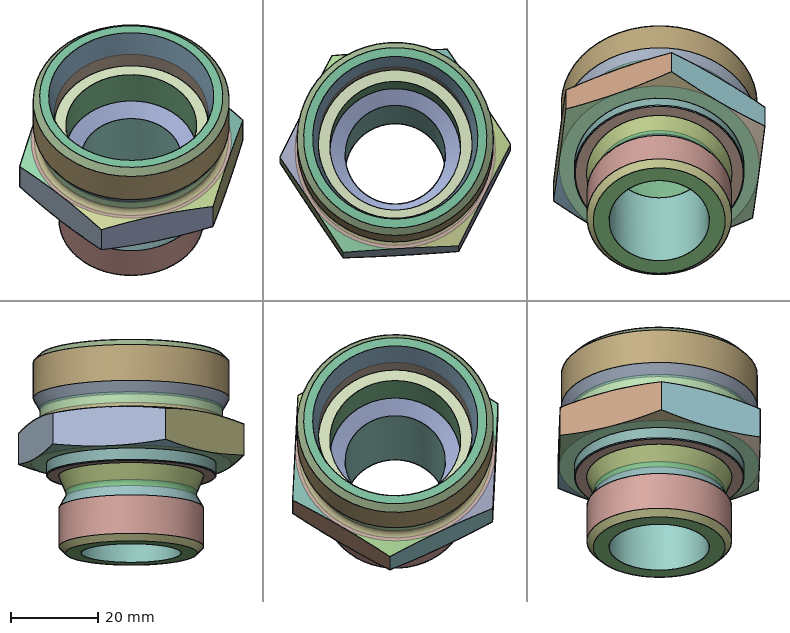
import cadquery as cq
import math

hex_corners = 53.1
hex_flats = hex_corners * math.cos(math.radians(30))
total_height = 46.0

lower_neck_middle = 13.7
collar_bottom = 18.0
hex_bottom = 20.9
hex_top = 30.0
upper_neck_bottom = 31.25
upper_thread_bottom = 36.1

lower_thread_radius = 33.25 / 2
lower_neck_radius = 30.0 / 2
collar_radius = 39.0 / 2
upper_neck_radius = 42.0 / 2
upper_thread_radius = 45.05 / 2
hex_face_radius = hex_flats / 2

relief_flank_angle = math.radians(30)
collar_flank_angle = math.radians(23)
lower_root_radius = 1.6
upper_root_radius = 1.0

thread_chamfer = 1.5
collar_chamfer = 0.2
hex_chamfer_slope = math.tan(math.radians(15))

bore_radius = 23.0 / 2
counterbore_radius = 30.0 / 2
socket_radius = 35.3 / 2
mouth_radius = 18.95
mouth_depth = 6.2
socket_depth = 10.35
counterbore_depth = 19.85
bore_cone_angle = math.radians(118 / 2)


def revolve_profile(profile):
    """Turn a closed radius-height outline about the Z axis."""
    return profile.close().revolve(360, (0, 0, 0), (0, 1, 0))


def root_point(neck_radius, root_radius, middle, angle):
    """Point on a rounded relief root, turned by angle from its deepest point."""
    return (
        neck_radius + root_radius * (1 - math.cos(angle)),
        middle + root_radius * math.sin(angle),
    )


def make_lower_end():
    """Lower thread, V-shaped relief with a rounded root, and sealing collar."""
    root_start = root_point(lower_neck_radius, lower_root_radius, lower_neck_middle, -relief_flank_angle)
    root_end = root_point(lower_neck_radius, lower_root_radius, lower_neck_middle, collar_flank_angle)
    flank_height = (lower_thread_radius - root_start[0]) / math.tan(relief_flank_angle)
    lower_thread_top = root_start[1] - flank_height
    flank_top_radius = root_end[0] + (collar_bottom - root_end[1]) * math.tan(collar_flank_angle)
    return revolve_profile(
        cq.Workplane("XZ")
        .lineTo(lower_thread_radius - thread_chamfer, 0)
        .lineTo(lower_thread_radius, thread_chamfer)
        .lineTo(lower_thread_radius, lower_thread_top)
        .lineTo(*root_start)
        .threePointArc((lower_neck_radius, lower_neck_middle), root_end)
        .lineTo(flank_top_radius, collar_bottom)
        .lineTo(collar_radius - collar_chamfer, collar_bottom)
        .lineTo(collar_radius, collar_bottom + collar_chamfer)
        .lineTo(collar_radius, hex_bottom)
        .lineTo(0, hex_bottom)
    )


def make_hex():
    """Hexagon with conical chamfers on both ends of its corners."""
    prism = (
        cq.Workplane("XY", origin=(0, 0, hex_bottom))
        .polygon(6, hex_corners)
        .extrude(hex_top - hex_bottom)
        .rotate((0, 0, 0), (0, 0, 1), 30)
    )
    corner_radius = hex_corners / 2
    corner_drop = (corner_radius - hex_face_radius) * hex_chamfer_slope
    envelope = revolve_profile(
        cq.Workplane("XZ")
        .moveTo(0, hex_bottom)
        .lineTo(hex_face_radius, hex_bottom)
        .lineTo(corner_radius, hex_bottom + corner_drop)
        .lineTo(corner_radius, hex_top - corner_drop)
        .lineTo(hex_face_radius, hex_top)
        .lineTo(0, hex_top)
    )
    return prism.intersect(envelope)


def make_upper_end():
    """Upper thread above a neck that flares into the hexagon."""
    flare = upper_neck_bottom - hex_top
    root_height = upper_root_radius * math.sin(relief_flank_angle)
    root_depth = upper_root_radius * (1 - math.cos(relief_flank_angle))
    flank_height = (upper_thread_radius - upper_neck_radius - root_depth) / math.tan(relief_flank_angle)
    upper_neck_top = upper_thread_bottom - flank_height - root_height
    root_end = root_point(upper_neck_radius, upper_root_radius, upper_neck_top, relief_flank_angle)
    root_middle = root_point(upper_neck_radius, upper_root_radius, upper_neck_top, relief_flank_angle / 2)
    return revolve_profile(
        cq.Workplane("XZ")
        .moveTo(0, hex_top)
        .lineTo(upper_neck_radius + flare, hex_top)
        .radiusArc((upper_neck_radius, upper_neck_bottom), flare)
        .lineTo(upper_neck_radius, upper_neck_top)
        .threePointArc(root_middle, root_end)
        .lineTo(upper_thread_radius, upper_thread_bottom)
        .lineTo(upper_thread_radius, total_height - thread_chamfer)
        .lineTo(upper_thread_radius - thread_chamfer, total_height)
        .lineTo(0, total_height)
    )


def make_bore():
    """Tapered mouth, socket, counterbore and through bore."""
    cone_length = (counterbore_radius - bore_radius) / math.tan(bore_cone_angle)
    cone_top = total_height - counterbore_depth
    return revolve_profile(
        cq.Workplane("XZ")
        .lineTo(bore_radius, 0)
        .lineTo(bore_radius, cone_top - cone_length)
        .lineTo(counterbore_radius, cone_top)
        .lineTo(counterbore_radius, total_height - socket_depth)
        .lineTo(socket_radius, total_height - socket_depth)
        .lineTo(socket_radius, total_height - mouth_depth)
        .lineTo(mouth_radius, total_height)
        .lineTo(0, total_height)
    )


body = make_lower_end().union(make_hex()).union(make_upper_end())
result = body.cut(make_bore())